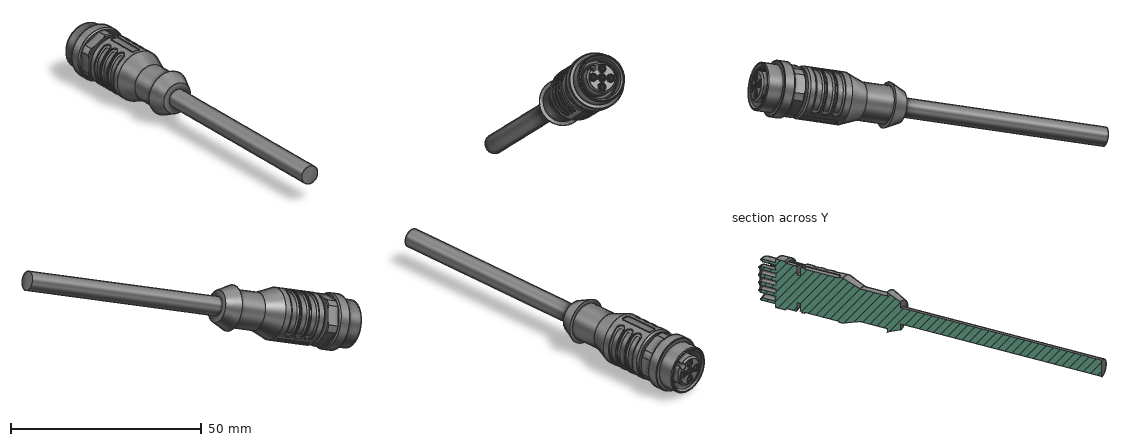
import cadquery as cq
import math

overall_length = 101.0

insert_diameter = 8.2
insert_chamfer = 0.5
contact_diameter = 1.1
socket_diameter = 1.6
socket_recess = 0.2
cavity_diameter = 2.1
cavity_depth = 0.6
contact_depth = 5.0
contact_offset = 2.4
contact_count = 4
keyway_diameter = 1.6
keyway_offset = 3.4
keyway_depth = 5.0
keyway_angle = 45.0

nut_front = 0.6
nut_diameter = 12.8
nut_edge_chamfer = 0.25
collar_front = 4.9
collar_back = 8.2
collar_diameter = 15.0
collar_front_chamfer = 0.2
collar_back_chamfer = 0.4
hex_back = 11.3
hex_corner_diameter = 14.0
hex_across_flats = 13.0
hex_back_chamfer = 0.3
bore_mouth_diameter = 11.9
bore_diameter = 10.9
bore_back = 5.5

seal_section = (bore_diameter - insert_diameter) / 2

neck_diameter = 8.7
grip_front = 12.2
grip_diameter = 14.0
grip_edge_chamfer = 0.5
grip_back = 24.7
sleeve_front = 29.9
sleeve_diameter = 10.2
flange_front = 37.8
flange_diameter = 12.3
flange_back = 41.8
flange_back_diameter = 8.7
cable_diameter = 5.2

slot_count = 3
slot_pitch = 3.0
slot_first_centre = 15.6
slot_width = 2.5
slot_depth = 0.6
slot_wall_run = 0.3
slot_wall_height = 0.5
slot_inner_end = 2.7

label_front = 13.4
label_length = 10.2
label_width = 2.3
label_corner_radius = 0.5
label_depth = 0.3


def cylinder(diameter, start, end):
    return cq.Workplane("YZ", origin=(start, 0, 0)).circle(diameter / 2).extrude(end - start)


def revolve_about_x(profile):
    return profile.close().revolve(360, (0, 0, 0), (1, 0, 0))


def make_nut():
    barrel = cylinder(nut_diameter, nut_front, collar_front).faces("<X").chamfer(nut_edge_chamfer)
    collar = (
        cylinder(collar_diameter, collar_front, collar_back)
        .faces("<X")
        .chamfer(collar_front_chamfer)
        .faces(">X")
        .chamfer(collar_back_chamfer)
    )
    hex_length = hex_back - collar_back
    hex_envelope = cylinder(hex_corner_diameter, collar_back, hex_back).faces(">X").chamfer(hex_back_chamfer)
    hexagon = (
        cq.Workplane("YZ", origin=(collar_back, 0, 0))
        .transformed(rotate=(0, 0, 90))
        .polygon(6, hex_across_flats / math.cos(math.pi / 6))
        .extrude(hex_length)
        .intersect(hex_envelope)
    )
    mouth_depth = (bore_mouth_diameter - bore_diameter) / 2
    bore = revolve_about_x(
        cq.Workplane("XY")
        .moveTo(nut_front, 0)
        .lineTo(nut_front, bore_mouth_diameter / 2)
        .lineTo(nut_front + mouth_depth, bore_diameter / 2)
        .lineTo(bore_back, bore_diameter / 2)
        .lineTo(bore_back, 0)
    )
    return barrel.union(collar).union(hexagon).cut(bore)


def make_insert():
    insert = cylinder(insert_diameter, 0, bore_back).faces("<X").chamfer(insert_chamfer)
    ring_points = [
        (
            contact_offset * math.cos(2 * math.pi * i / contact_count),
            contact_offset * math.sin(2 * math.pi * i / contact_count),
        )
        for i in range(contact_count)
    ]
    for y, z in [(0, 0)] + ring_points:
        cavity = cylinder(cavity_diameter, 0, cavity_depth)
        socket = cylinder(socket_diameter, socket_recess, cavity_depth)
        hole = cylinder(contact_diameter, 0, contact_depth)
        insert = insert.cut(cavity.cut(socket).union(hole).translate((0, y, z)))
    keyway = cylinder(keyway_diameter, 0, keyway_depth).translate((0, keyway_offset, 0))
    return insert.cut(keyway.rotate((0, 0, 0), (1, 0, 0), keyway_angle))


def make_seal():
    ring_radius = (bore_diameter + insert_diameter) / 4
    ring = cq.Workplane("XY").center(bore_back, ring_radius).circle(seal_section / 2)
    return ring.revolve(360, (0, -ring_radius, 0), (1, -ring_radius, 0))


def make_moulding():
    return revolve_about_x(
        cq.Workplane("XY")
        .moveTo(hex_back, 0)
        .lineTo(hex_back, neck_diameter / 2)
        .lineTo(grip_front, neck_diameter / 2)
        .lineTo(grip_front, grip_diameter / 2 - grip_edge_chamfer)
        .lineTo(grip_front + grip_edge_chamfer, grip_diameter / 2)
        .lineTo(grip_back, grip_diameter / 2)
        .lineTo(sleeve_front, sleeve_diameter / 2)
        .lineTo(flange_front, sleeve_diameter / 2)
        .lineTo(flange_front, flange_diameter / 2)
        .lineTo(flange_back, flange_back_diameter / 2)
        .lineTo(flange_back, cable_diameter / 2)
        .lineTo(overall_length, cable_diameter / 2)
        .lineTo(overall_length, 0)
    )


def make_finger_slots():
    core = cylinder(grip_diameter - 2 * slot_depth, grip_front, grip_back)
    slot_length = grip_diameter
    slots = cq.Workplane("XY")
    for i in range(slot_count):
        centre = slot_first_centre + i * slot_pitch
        for side in (-1, 1):
            slots = slots.union(
                cq.Workplane("XY", origin=(centre, side * (slot_inner_end + slot_length / 2), 0))
                .slot2D(slot_length, slot_width, 90)
                .extrude(grip_diameter / 2, both=True)
            )
    return slots.cut(core).edges("%BSPLINE").chamfer(slot_wall_run, slot_wall_height)


def make_label_recess():
    floor_height = grip_diameter / 2 - label_depth
    return (
        cq.Workplane("XY", origin=(label_front + label_length / 2, 0, floor_height))
        .rect(label_length, label_width)
        .extrude(2 * label_depth)
        .edges("|Z")
        .fillet(label_corner_radius)
    )


label_recess = make_label_recess()
moulding = make_moulding().cut(make_finger_slots()).cut(label_recess).cut(label_recess.mirror("XY"))
result = make_nut().union(make_insert()).union(make_seal()).union(moulding)